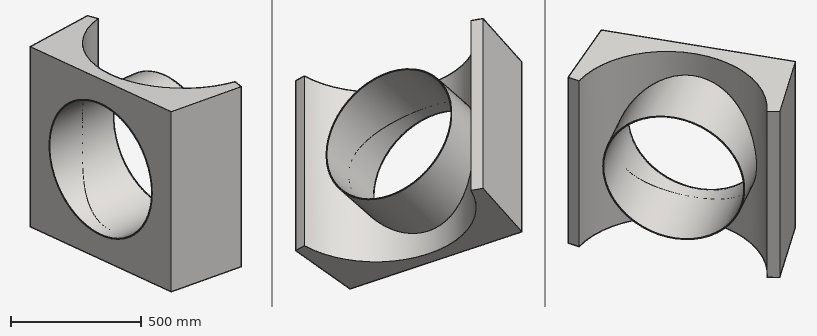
import cadquery as cq

front_width = 775.0
back_width = 845.0
height = front_width
block_depth = 354.0
horn_outer_depth = 342.0
horn_tip_half_gap = 375.0
web_depth = 56.0

sleeve_diameter = 567.0
sleeve_wall = 4.0
sleeve_length = 345.0


def make_block():
    """Extrude the saddle outline along Z and bore it for the sleeve."""
    outline = (
        cq.Workplane("XY")
        .moveTo(-front_width / 2, 0)
        .lineTo(front_width / 2, 0)
        .lineTo(back_width / 2, horn_outer_depth)
        .lineTo(horn_tip_half_gap, block_depth)
        .threePointArc((0, web_depth), (-horn_tip_half_gap, block_depth))
        .lineTo(-back_width / 2, horn_outer_depth)
        .close()
    )
    block = outline.extrude(height / 2, both=True)
    bore = cq.Workplane("XZ").circle(sleeve_diameter / 2).extrude(-block_depth)
    return block.cut(bore)


def make_sleeve():
    """Thin straight tube along Y that fills the bore and stands out of the hollow."""
    outer_radius = sleeve_diameter / 2
    return (
        cq.Workplane("XZ")
        .circle(outer_radius)
        .circle(outer_radius - sleeve_wall)
        .extrude(-sleeve_length)
    )


block = make_block()
sleeve = make_sleeve()

result = cq.Compound.makeCompound([block.val(), sleeve.val()])